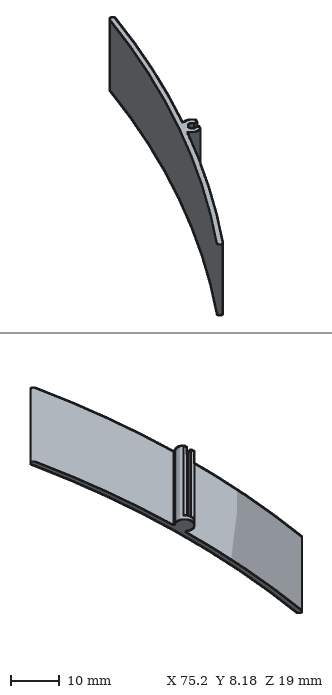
import cadquery as cq
import math

half_length = 37.6
height = 19.0
plate_thickness = 1.3
inner_radius = 203.15

clip_radius = 2.0
clip_center_y = 2.8
neck_width = 3.4
lip_height = 1.35
bore_radius = 0.8
slot_width = 1.1
stop_thickness = 1.05

outer_radius = inner_radius + plate_thickness
end_radius = plate_thickness / 2
middle_radius = inner_radius + end_radius
end_angle = math.asin((half_length - end_radius) / middle_radius)


def arc_point(radius, angle):
    """Point at an angle from the crown, on an arc about the bend centre."""
    return (radius * math.sin(angle), radius * math.cos(angle) - inner_radius)


def end_tip(side):
    """Outermost point of a half-round end along the plate; side is -1 or 1."""
    x, y = arc_point(middle_radius, side * end_angle)
    return (
        x + side * end_radius * math.cos(end_angle),
        y - end_radius * math.sin(end_angle),
    )


def make_plate():
    """Arc-shaped plate with half-round ends."""
    return (
        cq.Workplane("XY")
        .moveTo(*arc_point(inner_radius, -end_angle))
        .threePointArc(arc_point(inner_radius, 0), arc_point(inner_radius, end_angle))
        .threePointArc(end_tip(1), arc_point(outer_radius, end_angle))
        .threePointArc(arc_point(outer_radius, 0), arc_point(outer_radius, -end_angle))
        .threePointArc(end_tip(-1), arc_point(inner_radius, -end_angle))
        .close()
        .extrude(height)
    )


def cylinder(radius, length):
    """Upright cylinder on the clip axis."""
    return cq.Workplane("XY").center(0, clip_center_y).circle(radius).extrude(length)


def box_along_y(width, y_start, y_end):
    """Full-height box centred on X = 0."""
    return (
        cq.Workplane("XY")
        .center(0, (y_start + y_end) / 2)
        .rect(width, y_end - y_start)
        .extrude(height)
    )


def make_clip():
    """Keyhole-slotted round clip on a neck, closed by a disc at its foot."""
    clip_top = clip_center_y + clip_radius
    neck = box_along_y(neck_width, plate_thickness / 2, clip_center_y)
    bore = cylinder(bore_radius, height)
    slot = box_along_y(slot_width, clip_center_y, clip_top)
    lip_trim = box_along_y(2 * clip_radius, clip_center_y + lip_height, clip_top)
    clip = cylinder(clip_radius, height).union(neck).cut(bore).cut(slot).cut(lip_trim)
    return clip.union(cylinder(clip_radius, stop_thickness))


result = make_plate().union(make_clip())